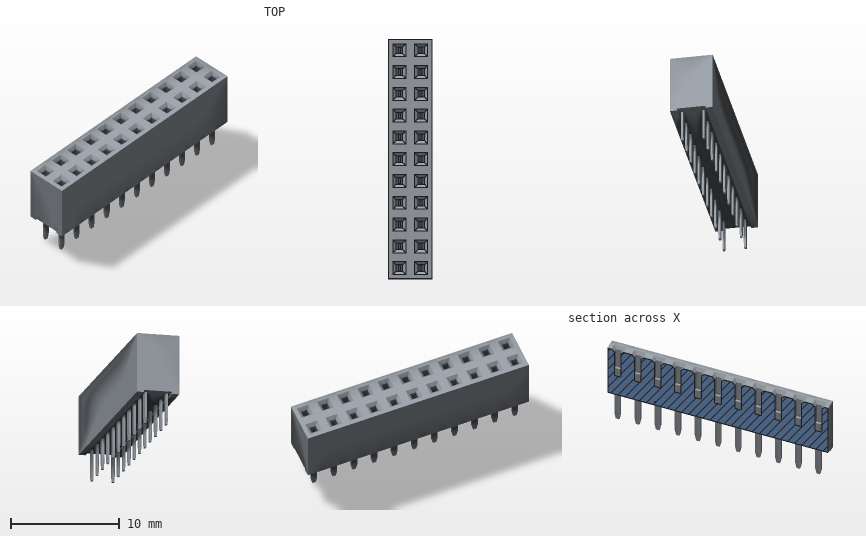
import cadquery as cq

length = 22.0
columns = 2
rows = 11
pitch = length / rows
width = columns * pitch
total_height = 8.3
housing_height = 5.59

foot_width = 0.65
foot_height = 0.2

funnel_mouth = 1.19
funnel_throat = 0.62
funnel_depth = (funnel_mouth - funnel_throat) / 2
bore_depth = 3.08

pin_thickness = 0.2
pin_width = 0.6
contact_width = 0.5
pin_tip_width = 0.33
pin_taper_length = 0.6
pin_top_depth = 2.2

pin_bottom = -total_height / 2
housing_bottom = total_height / 2 - housing_height
housing_top = total_height / 2
bore_floor = housing_top - bore_depth
pin_top = housing_top - pin_top_depth


def at_every_position(solid):
    """Copy a solid centred on the Z axis to every contact position."""
    centres = cq.Workplane("XY").rarray(pitch, pitch, columns, rows)
    return centres.eachpoint(solid, combine=False)


def make_housing():
    block = (
        cq.Workplane("XY", origin=(0, 0, housing_bottom))
        .box(width, length, housing_height, centered=(True, True, False))
    )
    channel = (
        cq.Workplane("XY", origin=(0, 0, housing_bottom))
        .box(width - 2 * foot_width, length, foot_height, centered=(True, True, False))
    )
    return block.cut(channel)


def make_socket():
    """Square funnel leading into a square blind bore."""
    funnel = (
        cq.Workplane("XY", origin=(0, 0, housing_top))
        .rect(funnel_mouth, funnel_mouth)
        .workplane(offset=-funnel_depth)
        .rect(funnel_throat, funnel_throat)
        .loft()
    )
    bore = (
        cq.Workplane("XY", origin=(0, 0, bore_floor))
        .box(funnel_throat, funnel_throat, bore_depth - funnel_depth, centered=(True, True, False))
    )
    return funnel.union(bore).val()


def make_pin():
    """Flat blade from inside the bore, shouldered at the bore floor, down to the tapered tip."""
    taper_start = pin_bottom + pin_taper_length
    return (
        cq.Workplane("YZ")
        .moveTo(-pin_tip_width / 2, pin_bottom)
        .lineTo(pin_tip_width / 2, pin_bottom)
        .lineTo(pin_width / 2, taper_start)
        .lineTo(pin_width / 2, bore_floor)
        .lineTo(contact_width / 2, bore_floor)
        .lineTo(contact_width / 2, pin_top)
        .lineTo(-contact_width / 2, pin_top)
        .lineTo(-contact_width / 2, bore_floor)
        .lineTo(-pin_width / 2, bore_floor)
        .lineTo(-pin_width / 2, taper_start)
        .close()
        .extrude(pin_thickness / 2, both=True)
        .val()
    )


sockets = at_every_position(make_socket())
pins = at_every_position(make_pin())
result = make_housing().cut(sockets).union(pins)